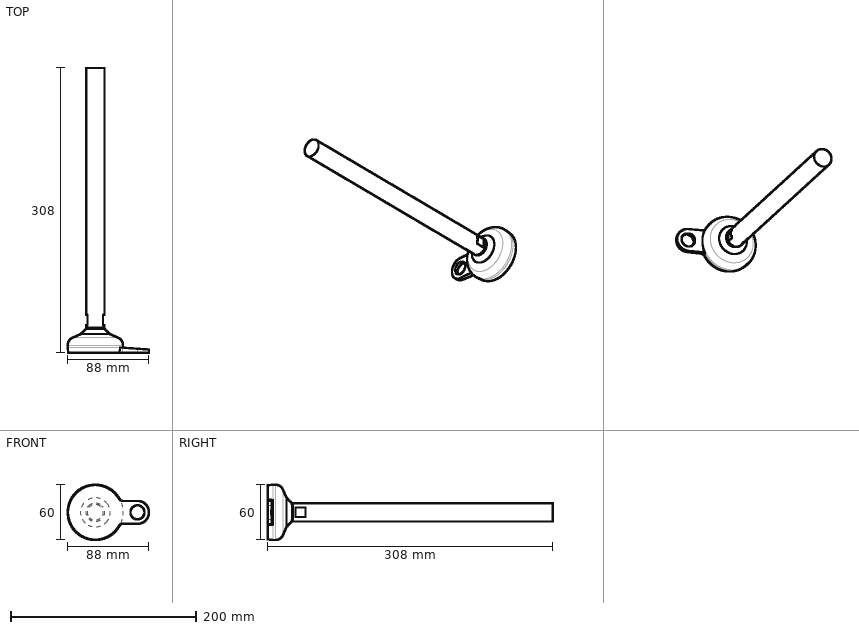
import cadquery as cq
import math

total_length = 308.0

foot_radius = 30.0
sole_radius = 29.4
rim_start = 5.8
rim_end = 8.3
shoulder_round = 9.0
shoulder_height = 20.4
shoulder_radius = 15.9
neck_height = 26.0
neck_radius = 10.0

lug_radius = 12.5
lug_reach = 58.0
lug_tip_thickness = 3.8
lug_hole_diameter = 15.0
lug_blend_radius = 5.0
lug_center = lug_reach - lug_radius

spindle_radius = 10.0
spindle_chamfer = 1.5
flat_start = 30.0
flat_length = 11.0
across_flats = 17.0


def make_foot_disc():
    """Revolve the foot profile, with a round tangent to the rim, about the Y axis."""
    arc_center_radius = foot_radius - shoulder_round
    run = shoulder_radius - arc_center_radius
    rise = shoulder_height - rim_end
    tangent_angle = math.atan2(rise, run) - math.acos(shoulder_round / math.hypot(run, rise))

    def on_round(angle):
        return (
            arc_center_radius + shoulder_round * math.cos(angle),
            rim_end + shoulder_round * math.sin(angle),
        )

    return (
        cq.Workplane("XY")
        .moveTo(0, 0)
        .lineTo(sole_radius, 0)
        .lineTo(foot_radius, rim_start)
        .lineTo(foot_radius, rim_end)
        .threePointArc(on_round(tangent_angle / 2), on_round(tangent_angle))
        .lineTo(shoulder_radius, shoulder_height)
        .lineTo(neck_radius, neck_height)
        .lineTo(0, neck_height)
        .close()
        .revolve(360, (0, 0, 0), (0, 1, 0))
    )


def make_lug():
    """Round-ended lug, blended into the foot, whose upper face slopes down from the rim to the tip."""
    blend_center_z = lug_radius + lug_blend_radius
    blend_angle = math.asin(blend_center_z / (sole_radius + lug_blend_radius))
    blend_center_x = blend_center_z / math.tan(blend_angle)
    foot_x = sole_radius * math.cos(blend_angle)
    foot_z = sole_radius * math.sin(blend_angle)
    mid_angle = (blend_angle + math.pi / 2) / 2
    mid_x = blend_center_x - lug_blend_radius * math.cos(mid_angle)
    mid_z = blend_center_z - lug_blend_radius * math.sin(mid_angle)

    side_profile = (
        cq.Workplane("XY")
        .polyline([
            (0, 0),
            (lug_reach, 0),
            (lug_reach, lug_tip_thickness),
            (foot_radius, rim_start),
            (0, rim_start),
        ])
        .close()
        .extrude(foot_z, both=True)
    )
    plan = (
        cq.Workplane("XZ")
        .moveTo(0, -foot_z)
        .lineTo(foot_x, -foot_z)
        .threePointArc((mid_x, -mid_z), (blend_center_x, -lug_radius))
        .lineTo(lug_center, -lug_radius)
        .threePointArc((lug_reach, 0), (lug_center, lug_radius))
        .lineTo(blend_center_x, lug_radius)
        .threePointArc((mid_x, mid_z), (foot_x, foot_z))
        .lineTo(0, foot_z)
        .close()
        .extrude(-rim_start)
    )
    hole = (
        cq.Workplane("XZ")
        .center(lug_center, 0)
        .circle(lug_hole_diameter / 2)
        .extrude(-rim_start)
    )
    return side_profile.intersect(plan).cut(hole)


def make_foot():
    return make_foot_disc().union(make_lug())


def make_spindle():
    """Plain rod standing on the neck, with two spanner flats near the foot."""
    spindle = (
        cq.Workplane("XZ", origin=(0, neck_height, 0))
        .circle(spindle_radius)
        .extrude(neck_height - total_length)
        .faces("<Y")
        .chamfer(spindle_chamfer)
    )
    flat_depth = spindle_radius - across_flats / 2
    for side in (-1, 1):
        flat_cutter = cq.Workplane("XY").box(flat_depth, flat_length, 2 * spindle_radius).translate(
            (side * (across_flats + flat_depth) / 2, flat_start + flat_length / 2, 0)
        )
        spindle = spindle.cut(flat_cutter)
    return spindle


foot = make_foot()
spindle = make_spindle()

result = cq.Compound.makeCompound([foot.val(), spindle.val()])